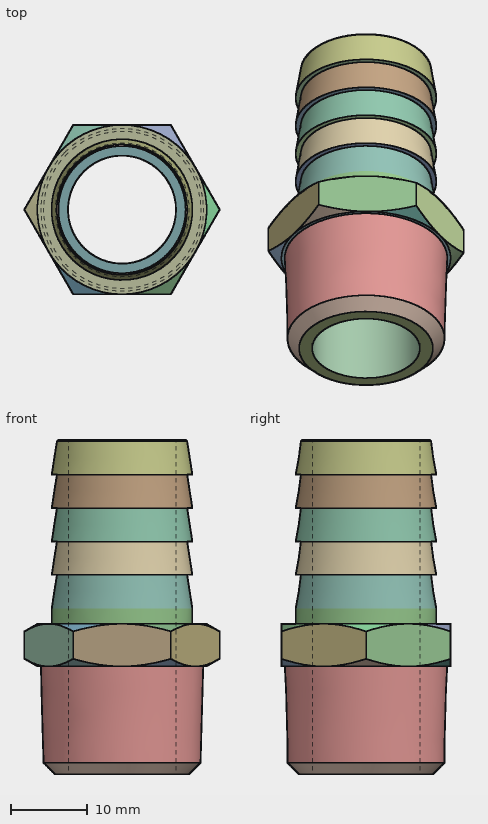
import cadquery as cq
import math

total_height = 43.5
bore_diameter = 14.0

pipe_tip_diameter = 17.4
pipe_lower_diameter = 20.45
pipe_upper_diameter = 21.15
pipe_chamfer_height = 1.52

hex_across_flats = 22.0
hex_bottom = 14.05
hex_top = 19.58
hex_chamfer_angle = 30.0

barb_diameter = 18.3
barb_root_diameter = 16.95
barb_count = 5
barb_start = 21.58
barb_pitch = 4.35
tip_chamfer = 0.2


def revolve_profile(points):
    """Revolve a closed (radius, height) outline about the Z axis."""
    return cq.Workplane("XZ").polyline(points).close().revolve(360, (0, 0, 0), (0, 1, 0))


def make_pipe_end():
    return revolve_profile([
        (0, 0),
        (pipe_tip_diameter / 2, 0),
        (pipe_lower_diameter / 2, pipe_chamfer_height),
        (pipe_upper_diameter / 2, hex_bottom),
        (0, hex_bottom),
    ])


def make_hex_collar():
    """Hexagon with corners on X, its corners turned off conically at both ends."""
    across_corners = hex_across_flats / math.cos(math.radians(30))
    prism = (
        cq.Workplane("XY", origin=(0, 0, hex_bottom))
        .polygon(6, across_corners)
        .extrude(hex_top - hex_bottom)
    )
    face_radius = hex_across_flats / 2
    corner_radius = across_corners / 2
    corner_drop = (corner_radius - face_radius) * math.tan(math.radians(hex_chamfer_angle))
    turned_blank = revolve_profile([
        (0, hex_bottom),
        (face_radius, hex_bottom),
        (corner_radius, hex_bottom + corner_drop),
        (corner_radius, hex_top - corner_drop),
        (face_radius, hex_top),
        (0, hex_top),
    ])
    return prism.intersect(turned_blank)


def make_hose_end():
    """Plain neck followed by barbs that each narrow towards the top."""
    barb_radius = barb_diameter / 2
    root_radius = barb_root_diameter / 2
    points = [(0, hex_top), (barb_radius, hex_top)]
    for index in range(barb_count):
        barb_bottom = barb_start + index * barb_pitch
        points.append((barb_radius, barb_bottom))
        if index < barb_count - 1:
            points.append((root_radius, barb_bottom + barb_pitch))
    points += [
        (root_radius, total_height - tip_chamfer),
        (root_radius - tip_chamfer, total_height),
        (0, total_height),
    ]
    return revolve_profile(points)


bore = cq.Workplane("XY").circle(bore_diameter / 2).extrude(total_height)
result = make_pipe_end().union(make_hex_collar()).union(make_hose_end()).cut(bore)